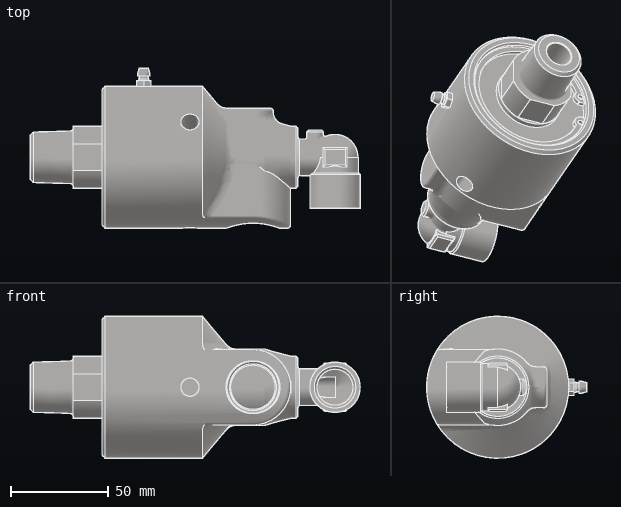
import cadquery as cq
import math

TOTAL_LENGTH = 169.5

NOSE_TIP_D = 26.1
NOSE_END_D = 27.1
NOSE_CHAMFER = 1.7
NOSE_THREAD_END = 20.2
NOSE_BORE_D = 13.5
NOSE_BORE_CHAMFER = 0.3
SHOULDER_D = 30.2
COLLAR_START = 22.0
COLLAR_D = 35.1
FLATTED_D = 34.8
COLLAR_FLATS = 32.0
COLLAR_FLATS_END = 38.5

BARREL_START = 36.8
BARREL_END = 88.5
BARREL_R = 36.53
BARREL_CHAMFER = 1.7
CONE_ANGLE = 50.0

RECESS_R = 31.0
RECESS_DEPTH = 4.7
RECESS_CHAMFER = 1.0
RING_INNER_R = 28.1
RING_SETBACK = 2.4
RING_EAR_Y = -28.5
RING_EAR_Z = 8.3
RING_EAR_R = 3.2
RING_EAR_HOLE_D = 2.7
RING_GAP = 9.5

NECK_R = 19.7
NECK_END = 120.5
END_BAND_D = 32.0
END_BAND_START = 134.0
END_BAND_END = 137.5
END_BAND_CHAMFER = 1.0

BOSS_X = 114.5
PORT_BOSS_R = 19.3
REAR_BOSS_R = 10.5
REAR_BOSS_Y = 25.3
BOSS_ROUND = 1.7
BLEND_R = 6.0
PORT_MOUTH_D = 27.8
PORT_SEAT_D = 26.6
PORT_SEAT_Y = -32.0
PORT_THREAD_D = 24.0
PORT_THREAD_Y = -30.9
PORT_FLOOR_D = 22.5
PORT_FLOOR_Y = -15.3

PORT_RIM_Y = -0.75 * BARREL_R

WEEP_D = 9.3
WEEP_X = 82.0
WEEP_DEPTH = 17.0
WEEP_COUNT = 3

FITTING_X = 58.3
FITTING_HEX_D = 8.6
FITTING_HEX_TOP = 39.3
FITTING_NECK_D = 5.5
FITTING_HEAD_D = 6.3
FITTING_NECK_END = 40.2
FITTING_GROOVE_D = 4.7
FITTING_HEAD_START = 41.7
FITTING_HEAD_END = 43.2
FITTING_TIP_D = 4.7
FITTING_TOP = 45.85

STUB_D = 19.0
STUB_FLARE = 0.8
SLEEVE_D = 26.0
SLEEVE_TOP = -8.8
SLEEVE_END = -26.3
ELBOW_R = 11.9
PIPE_R = 12.12
SLEEVE_BORE_D = 18.5
SLEEVE_MOUTH_D = 21.4
SLEEVE_MOUTH_DEPTH = 1.7
SLEEVE_BORE_END = -2.7
DRILL_SLOPE = 31.0
STUB_BORE_D = 10.7
STUB_BORE_OVERRUN = 0.3
PAD_X = 12.5
PAD_Y = 10.2
PAD_TOP = 12.5
PAD_CHAMFER = 1.0
KNOB_X = 146.3
KNOB_D = 8.6
KNOB_TOP = 14.0
KNOB_CHAMFER = 1.0
ELBOW_BLEND_R = 0.8

SEAM_MARGIN = 0.3

ROOT_DEPTH = 1.7

CONE_END = BARREL_END + (BARREL_R - NECK_R) / math.tan(math.radians(CONE_ANGLE))
ELBOW_X = TOTAL_LENGTH - SLEEVE_D / 2


def turned_x(points):
    """Solid of revolution about the X axis from (x, radius) points."""
    return cq.Workplane("XY").polyline(points).close().revolve(360, (0, 0), (1, 0))


def turned_y(points, x):
    """Solid of revolution about the line parallel to Y at the given x, from (radius, y) points."""
    profile = [(x + radius, y) for radius, y in points]
    return cq.Workplane("XY").polyline(profile).close().revolve(360, (x, 0), (x, 1))


def rod_x(diameter, start, end):
    return cq.Workplane("YZ", origin=(start, 0, 0)).circle(diameter / 2).extrude(end - start)


def make_housing():
    """Barrel, cone, neck and end band turned in one piece."""
    band_r = END_BAND_D / 2
    return turned_x([
        (BARREL_START, 0),
        (BARREL_START, BARREL_R - BARREL_CHAMFER),
        (BARREL_START + BARREL_CHAMFER, BARREL_R),
        (BARREL_END, BARREL_R),
        (CONE_END, NECK_R),
        (NECK_END, NECK_R),
        (END_BAND_START, band_r),
        (END_BAND_END - END_BAND_CHAMFER, band_r),
        (END_BAND_END, band_r - END_BAND_CHAMFER),
        (END_BAND_END, 0),
    ])


def make_boss(radius, direction):
    """Slot-shaped boss running out along Y from the axis, buried in the barrel at its -X end."""
    start = BARREL_END - 2 * BOSS_ROUND
    reach = REAR_BOSS_Y if direction > 0 else BARREL_R
    plane = cq.Plane(origin=(0, 0, 0), xDir=(1, 0, 0), normal=(0, direction, 0))
    return (
        cq.Workplane(plane)
        .moveTo(start, -radius)
        .lineTo(BOSS_X, -radius)
        .threePointArc((BOSS_X + radius, 0), (BOSS_X, radius))
        .lineTo(start, radius)
        .close()
        .extrude(reach)
    )


def make_port_boss():
    """Boss trimmed to the barrel radius, its rim rounded, with the port bored down to the neck."""
    boss = make_boss(PORT_BOSS_R, -1).intersect(rod_x(2 * BARREL_R, 0, TOTAL_LENGTH))
    rim = cq.selectors.BoxSelector(
        (BARREL_END - BOSS_ROUND, -BARREL_R, -BARREL_R),
        (TOTAL_LENGTH, PORT_RIM_Y, BARREL_R),
    )
    boss = boss.edges(rim).fillet(BOSS_ROUND)
    port = turned_y([
        (0, 0),
        (PORT_FLOOR_D / 2, 0),
        (PORT_FLOOR_D / 2, PORT_FLOOR_Y),
        (PORT_THREAD_D / 2, PORT_THREAD_Y),
        (PORT_SEAT_D / 2, PORT_SEAT_Y),
        (PORT_MOUTH_D / 2, -BARREL_R),
        (0, -BARREL_R),
    ], BOSS_X)
    return boss.cut(port)


def make_rear_boss():
    return make_boss(REAR_BOSS_R, 1).faces(">Y").edges().fillet(BOSS_ROUND)


def make_body():
    """Housing with both bosses, blended together where they meet the cone and the neck."""
    body = make_housing().union(make_port_boss()).union(make_rear_boss())
    cone_seams = cq.selectors.BoxSelector(
        (BARREL_END + SEAM_MARGIN, PORT_RIM_Y, -BARREL_R),
        (CONE_END + SEAM_MARGIN, REAR_BOSS_Y + SEAM_MARGIN, BARREL_R),
    )
    root_y = math.sqrt(NECK_R**2 - REAR_BOSS_R**2)
    rear_boss_root = cq.selectors.BoxSelector(
        (CONE_END + SEAM_MARGIN, root_y - SEAM_MARGIN, -NECK_R),
        (BOSS_X + REAR_BOSS_R, NECK_R - SEAM_MARGIN, NECK_R),
    )
    return body.edges(cone_seams + rear_boss_root).fillet(BLEND_R)


def make_front_recess():
    """Recess with a chamfered mouth, still filled by the retaining ring a little below the face."""
    recess = turned_x([
        (BARREL_START, 0),
        (BARREL_START, RECESS_R + RECESS_CHAMFER),
        (BARREL_START + RECESS_CHAMFER, RECESS_R),
        (BARREL_START + RECESS_DEPTH, RECESS_R),
        (BARREL_START + RECESS_DEPTH, 0),
    ])
    ring_front = BARREL_START + RING_SETBACK
    ring_length = RECESS_DEPTH - RING_SETBACK
    sheet = cq.Workplane("YZ", origin=(ring_front, 0, 0))
    ring = sheet.circle(RECESS_R + RECESS_CHAMFER).circle(RING_INNER_R).extrude(ring_length)
    ear_places = [(RING_EAR_Y, -RING_EAR_Z), (RING_EAR_Y, RING_EAR_Z)]
    ring = ring.union(sheet.pushPoints(ear_places).circle(RING_EAR_R).extrude(ring_length))
    gap = sheet.center(RING_EAR_Y, 0).rect(4 * RING_EAR_R, RING_GAP).extrude(ring_length)
    ear_holes = sheet.pushPoints(ear_places).circle(RING_EAR_HOLE_D / 2).extrude(ring_length)
    return recess.cut(ring.cut(gap).cut(ear_holes))


def make_spindle():
    """Tapered nose and wrench collar, running back into the barrel."""
    tip_r = NOSE_TIP_D / 2
    end_r = NOSE_END_D / 2
    shoulder_r = SHOULDER_D / 2
    shoulder_round = shoulder_r - end_r
    collar_end = BARREL_START + RECESS_DEPTH
    round_start = COLLAR_START - shoulder_round
    diagonal = shoulder_round * math.sqrt(0.5)
    nose = (
        cq.Workplane("XY")
        .lineTo(0, tip_r - NOSE_CHAMFER)
        .lineTo(NOSE_CHAMFER, tip_r)
        .lineTo(NOSE_THREAD_END, end_r)
        .lineTo(round_start, end_r)
        .threePointArc((round_start + diagonal, shoulder_r - diagonal), (COLLAR_START, shoulder_r))
        .lineTo(COLLAR_START, 0)
        .close()
        .revolve(360, (0, 0), (1, 0))
    )
    flats_length = COLLAR_FLATS_END - COLLAR_START
    square = (
        cq.Workplane("YZ", origin=(COLLAR_START, 0, 0))
        .rect(COLLAR_FLATS, COLLAR_FLATS)
        .extrude(flats_length)
    )
    flatted = rod_x(FLATTED_D, COLLAR_START, COLLAR_FLATS_END).intersect(square)
    return nose.union(flatted).union(rod_x(COLLAR_D, COLLAR_FLATS_END, collar_end))


def make_nose_bore():
    bore_r = NOSE_BORE_D / 2
    return turned_x([
        (0, 0),
        (0, bore_r + NOSE_BORE_CHAMFER),
        (NOSE_BORE_CHAMFER, bore_r),
        (BARREL_END, bore_r),
        (BARREL_END, 0),
    ])


def make_weep_holes():
    """Blind radial holes spaced evenly round the barrel, the first pointing to -Y."""
    holes = cq.Workplane("XY")
    for i in range(WEEP_COUNT):
        hole = (
            cq.Workplane("XZ", origin=(WEEP_X, -BARREL_R + WEEP_DEPTH, 0))
            .circle(WEEP_D / 2)
            .extrude(2 * WEEP_DEPTH)
        )
        holes = holes.union(hole.rotate((0, 0, 0), (1, 0, 0), i * 360 / WEEP_COUNT))
    return holes


def make_grease_fitting():
    """Hexagon, neck and ball head standing on the +Y side of the barrel."""
    root_y = BARREL_R - ROOT_DEPTH
    hexagon = (
        cq.Workplane("XZ", origin=(FITTING_X, root_y, 0))
        .polygon(6, FITTING_HEX_D)
        .extrude(root_y - FITTING_HEX_TOP)
        .rotate((FITTING_X, 0, 0), (FITTING_X, 1, 0), 30)
    )
    neck_r = FITTING_NECK_D / 2
    groove_r = FITTING_GROOVE_D / 2
    head_r = FITTING_HEAD_D / 2
    spindle = turned_y([
        (0, root_y),
        (neck_r, root_y),
        (neck_r, FITTING_NECK_END),
        (groove_r, FITTING_NECK_END),
        (groove_r, FITTING_HEAD_START),
        (head_r, FITTING_HEAD_START),
        (head_r, FITTING_HEAD_END),
        (FITTING_TIP_D / 2, FITTING_TOP),
        (0, FITTING_TOP),
    ], FITTING_X)
    return hexagon.union(spindle)


def make_elbow():
    """Stub, round elbow and sleeve opening to -Y, with square pads and a knob."""
    stub_r = STUB_D / 2
    stub = turned_x([
        (END_BAND_END, 0),
        (END_BAND_END, stub_r + STUB_FLARE),
        (END_BAND_END + STUB_FLARE, stub_r),
        (ELBOW_X, stub_r),
        (ELBOW_X, 0),
    ])
    ball = cq.Workplane("XY").sphere(ELBOW_R).translate((ELBOW_X, 0, 0))
    sleeve_r = SLEEVE_D / 2
    pipe = turned_y([
        (0, 0),
        (PIPE_R, 0),
        (PIPE_R, SLEEVE_TOP + sleeve_r - PIPE_R),
        (sleeve_r, SLEEVE_TOP),
        (sleeve_r, SLEEVE_END),
        (0, SLEEVE_END),
    ], ELBOW_X)
    pads = (
        cq.Workplane("XY", origin=(ELBOW_X, 0, 0))
        .box(PAD_X, PAD_Y, 2 * PAD_TOP)
        .faces("<Z or >Z")
        .edges()
        .chamfer(PAD_CHAMFER)
    )
    knob = (
        cq.Workplane("XZ", origin=(KNOB_X, 0, 0))
        .circle(KNOB_D / 2)
        .extrude(-KNOB_TOP)
        .faces(">Y")
        .chamfer(KNOB_CHAMFER)
    )
    seams = cq.selectors.BoxSelector(
        (KNOB_X - KNOB_D / 2, -stub_r, -stub_r),
        (ELBOW_X - STUB_BORE_D / 2, ELBOW_R - SEAM_MARGIN, stub_r),
    )
    neck = stub.union(ball).union(knob).edges(seams).fillet(ELBOW_BLEND_R)
    return neck.union(pipe).union(pads)


def make_elbow_bores():
    """Chamfered blind bore with a conical floor, crossed by the bore of the stub."""
    bore_r = SLEEVE_BORE_D / 2
    sleeve_bore = turned_y([
        (0, SLEEVE_BORE_END + bore_r * math.tan(math.radians(DRILL_SLOPE))),
        (bore_r, SLEEVE_BORE_END),
        (bore_r, SLEEVE_END + SLEEVE_MOUTH_DEPTH),
        (SLEEVE_MOUTH_D / 2, SLEEVE_END),
        (0, SLEEVE_END),
    ], ELBOW_X)
    return sleeve_bore.union(rod_x(STUB_BORE_D, END_BAND_END, ELBOW_X + STUB_BORE_OVERRUN))


result = (
    make_body()
    .cut(make_front_recess())
    .cut(make_weep_holes())
    .union(make_spindle())
    .cut(make_nose_bore())
    .union(make_grease_fitting())
    .union(make_elbow())
    .cut(make_elbow_bores())
)